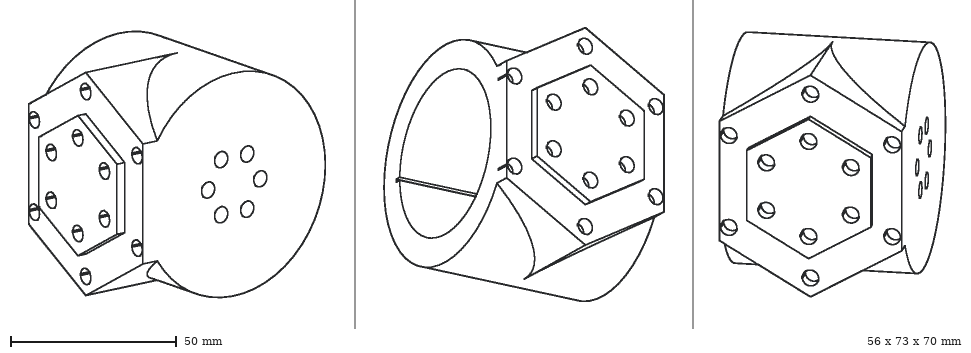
import cadquery as cq
import math

cup_radius = 35.0
cup_length = 56.0
bore_radius = 26.0
end_wall = 6.0
open_end_x = -cup_length / 2
bore_depth = cup_length - end_wall

groove_width = 1.0
groove_bottom_y = bore_radius + 2.0

block_face_y = -cup_radius
block_corner_radius = cup_radius
pad_corner_radius = 22.0
pad_height = 3.0
pad_face_y = block_face_y - pad_height

hole_diameter = 5.0
holes_per_circle = 6
end_hole_circle_radius = 10.0
pad_hole_circle_radius = 15.0
block_hole_circle_radius = 29.0
front_hole_depth = 5.0

slit_width = 0.5
slit_depth = 0.16
slit_reach = hole_diameter / 2 + slit_depth


def hexagon(corner_radius, face_y, depth):
    """Hexagonal prism running from face_y toward +Y, with corners at the top and bottom."""
    corners = [
        (
            corner_radius * math.sin(math.radians(60 * i)),
            corner_radius * math.cos(math.radians(60 * i)),
        )
        for i in range(6)
    ]
    front = cq.Workplane("XZ", origin=(0, face_y, 0))
    return front.polyline(corners).close().extrude(-depth)


def x_cylinder(radius, start_x, length):
    """Cylinder centred on the X axis, running toward +X."""
    return cq.Workplane("YZ", origin=(start_x, 0, 0)).circle(radius).extrude(length)


def front_holes(circle_radius, face_y):
    """Circle of blind holes drilled from face_y, each with a slit on its -X side."""
    holes = cq.Workplane("XZ", origin=(0, face_y, 0))
    holes = holes.polarArray(circle_radius, 90, 360, holes_per_circle, rotate=False)
    holes = holes.circle(hole_diameter / 2).extrude(-front_hole_depth)
    slit = cq.Workplane("XY").box(
        slit_reach, front_hole_depth, slit_width, centered=(False, False, True)
    )
    for i in range(holes_per_circle):
        angle = math.radians(90 + 360 / holes_per_circle * i)
        center_x = circle_radius * math.cos(angle)
        center_z = circle_radius * math.sin(angle)
        holes = holes.union(slit.translate((center_x - slit_reach, face_y, center_z)))
    return holes


def end_wall_holes():
    """Circle of holes through the end wall."""
    inside = cq.Workplane("YZ", origin=(open_end_x + bore_depth, 0, 0))
    pattern = inside.polarArray(end_hole_circle_radius, 0, 360, holes_per_circle)
    return pattern.circle(hole_diameter / 2).extrude(end_wall)


def mounting_block():
    """Hexagonal block from the cup axis to the front face, trimmed to the cup's length."""
    block = hexagon(block_corner_radius, block_face_y, -block_face_y)
    envelope = cq.Workplane("XY").box(cup_length, 2 * cup_radius, 2 * cup_radius)
    return block.intersect(envelope)


def key_groove():
    """Rectangular groove along the full length of the bore."""
    return cq.Workplane("XY").box(
        bore_depth, groove_bottom_y, groove_width, centered=(False, False, True)
    ).translate((open_end_x, 0, 0))


body = x_cylinder(cup_radius, open_end_x, cup_length)
body = body.union(mounting_block())
body = body.union(hexagon(pad_corner_radius, pad_face_y, pad_height))

body = body.cut(x_cylinder(bore_radius, open_end_x, bore_depth))
body = body.cut(key_groove())
body = body.cut(end_wall_holes())
body = body.cut(front_holes(block_hole_circle_radius, block_face_y))
body = body.cut(front_holes(pad_hole_circle_radius, pad_face_y))

result = body